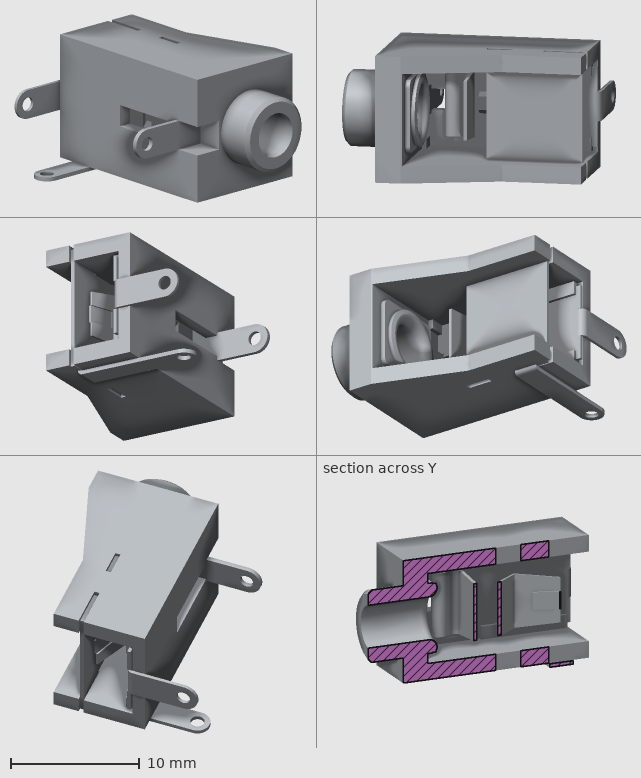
import cadquery as cq
import math


body_length = 15.8
body_height = 10.0
body_width = 10.0
rear_height = 7.58
slope_start_x = 6.26
slope_end_x = 13.77
cavity_length = 13.68
cavity_width = 7.3
floor_y = 1.03

axis_y = 5.5
nozzle_radius = 3.0
nozzle_length = 3.0
nozzle_chamfer = 0.3
bore_radius = 1.78
sleeve_base_radius = 2.86
sleeve_crest_radius = 2.5
sleeve_crest_x = 12.9
sleeve_chamfer = 0.11

terminal_end_y = -4.49
terminal_width = 2.33
terminal_hole_radius = 0.55
side_terminal_width = 2.0
side_terminal_x = 2.33

ground_thickness = 0.38
ground_x = cavity_length - ground_thickness
ground_bottom_y = 2.52
ground_top_y = 8.79
ground_width = 5.77
ground_corner_radius = 0.57
recess_x = 13.18
recess_depth = 2.3
corner_block_height = 2.31

spring_thickness = 0.27
spring_top_y = 1.43
spring_width = 6.35
spring_front_x = 11.92
spring_rear_x = -0.08
terminal_rear_x = -0.3
terminal_bend_radius = 0.52
fold_radius = 0.65
return_heading = math.radians(210)
arm_bend_radius = 0.61
arm_top_y = 5.15
arm_base_width = 5.46
arm_tip_width = 4.66
rail_inner_z = 2.45
rail_outer_z = 3.51
rail_rear_x = 0.38
rail_length = 7.25
rail_top_y = 1.7

slot_start_x = 6.91
slot_width = 1.72
bridge_start_x = 8.3
bridge_end_x = 9.28
bridge_top_y = 1.83
bridge_base_width = 2.14
bridge_top_width = 1.07

plate_thickness = 0.32
plate_rear_x = 0.3
plate_front_x = 3.3
plate_top_z = 4.74
plate_bend_radius = 0.38
side_terminal_bottom_z = -5.37
wall_slot_height = 0.42
rear_slot_length = 3.4
front_slot_start_x = 5.83
front_slot_end_x = 7.89
plate_tab_clearance = 0.08
leaf_thickness = 0.17
leaf_tip_x = 2.39
leaf_tip_y = 4.83
leaf_tip_width = 3.67
leaf_knee_x = 5.73
leaf_knee_y = 3.61
leaf_knee_width = 4.4
channel_width = 1.41
channel_length = 1.91
channel_depth = 0.13


def box(x0, x1, y0, y1, z0, z1):
    return cq.Workplane("XY").box(x1 - x0, y1 - y0, z1 - z0, centered=False).translate((x0, y0, z0))


def centred_box(x0, x1, y0, y1, width):
    return box(x0, x1, y0, y1, -width / 2, width / 2)


def extrude_across(outline, width):
    """Extrude an XY outline symmetrically about the plug axis plane."""
    return outline.extrude(width / 2, both=True)


def terminal_blade(width, thickness, top_y):
    """Round-ended blade with an eyelet, its flat faces normal to X, starting at X = 0."""
    centre_y = terminal_end_y + width / 2
    blade = centred_box(0, thickness, centre_y, top_y, width)
    eye = cq.Workplane("YZ").center(centre_y, 0)
    hole = eye.circle(terminal_hole_radius).extrude(thickness)
    return blade.union(eye.circle(width / 2).extrude(thickness)).cut(hole)


def trapezoid_mask(x0, y0, width0, x1, y1, width1, plane):
    """Prism whose Z width changes from width0 to width1 along X (plane "XZ") or Y (plane "YZ")."""
    if plane == "XZ":
        ends = (x0, x1)
        base = cq.Workplane("XZ", origin=(0, y1, 0))
        depth = y1 - y0
    else:
        ends = (y0, y1)
        base = cq.Workplane("YZ", origin=(x0, 0, 0))
        depth = x1 - x0
    outline = [
        (ends[0], -width0 / 2),
        (ends[1], -width1 / 2),
        (ends[1], width1 / 2),
        (ends[0], width0 / 2),
    ]
    return base.polyline(outline).close().extrude(depth)


def make_housing():
    outline = [
        (0, 0),
        (body_length, 0),
        (body_length, body_height),
        (slope_end_x, body_height),
        (slope_start_x, rear_height),
        (0, rear_height),
    ]
    housing = extrude_across(cq.Workplane("XY").polyline(outline).close(), body_width)
    housing = housing.cut(centred_box(0, cavity_length, floor_y, body_height, cavity_width))
    housing = housing.cut(centred_box(slot_start_x, recess_x, 0, floor_y, slot_width))
    housing = housing.cut(centred_box(recess_x, body_length, 0, recess_depth, terminal_width))
    for x0, x1 in ((0, rear_slot_length), (front_slot_start_x, front_slot_end_x)):
        housing = housing.cut(centred_box(x0, x1, axis_y - wall_slot_height, axis_y, body_width))
    for z0, z1 in ((-cavity_width, -ground_width), (ground_width, cavity_width)):
        block = box(ground_x, cavity_length, floor_y, corner_block_height, z0 / 2, z1 / 2)
        housing = housing.union(block)
    return housing


def make_bushing():
    """Nozzle and inner sleeve, without the bore, revolved about the plug axis."""
    end_x = body_length + nozzle_length
    outline = [
        (sleeve_crest_x, 0),
        (sleeve_crest_x, sleeve_crest_radius),
        (sleeve_crest_x + sleeve_chamfer, sleeve_base_radius),
        (body_length, sleeve_base_radius),
        (body_length, nozzle_radius),
        (end_x - nozzle_chamfer, nozzle_radius),
        (end_x, nozzle_radius - nozzle_chamfer),
        (end_x, 0),
    ]
    return (
        cq.Workplane("XY", origin=(0, axis_y, 0))
        .polyline(outline)
        .close()
        .revolve(360, (0, 0, 0), (1, 0, 0))
    )


def make_bore():
    """Through bore with a rounded mouth at the sleeve crest."""
    mouth_radius = sleeve_crest_radius - bore_radius
    diagonal = mouth_radius * math.sqrt(0.5)
    return (
        cq.Workplane("XY", origin=(0, axis_y, 0))
        .moveTo(sleeve_crest_x, 0)
        .lineTo(sleeve_crest_x, sleeve_crest_radius)
        .threePointArc(
            (sleeve_crest_x + mouth_radius - diagonal, sleeve_crest_radius - diagonal),
            (sleeve_crest_x + mouth_radius, bore_radius),
        )
        .lineTo(body_length + nozzle_length, bore_radius)
        .lineTo(body_length + nozzle_length, 0)
        .close()
        .revolve(360, (0, 0, 0), (1, 0, 0))
    )


def make_ground_terminal():
    plate = centred_box(ground_x, cavity_length, ground_bottom_y, ground_top_y, ground_width)
    plate = plate.edges("|X").fillet(ground_corner_radius)
    blade = terminal_blade(terminal_width, ground_thickness, axis_y)
    return plate.union(blade.translate((ground_x, 0, 0)))


def on_circle(centre, radius, angle):
    return (centre[0] + radius * math.cos(angle), centre[1] + radius * math.sin(angle))


def make_spring_arm(bottom_y):
    """Sheet folded up and back at the front, sloping down, then bent upright into the arm."""
    quarter = math.pi / 2
    fold_inner = fold_radius - spring_thickness
    bend_inner = arm_bend_radius - spring_thickness

    fold_centre = (spring_front_x - fold_radius, bottom_y + fold_radius)
    bend_centre_y = rail_top_y + arm_bend_radius
    centre_gap = fold_radius + bend_inner
    rise = bend_centre_y - fold_centre[1]
    run_length = (rise + centre_gap * math.cos(return_heading)) / math.sin(return_heading)
    run_x = run_length * math.cos(return_heading) + centre_gap * math.sin(return_heading)
    bend_centre = (fold_centre[0] + run_x, bend_centre_y)

    fold_end = return_heading - quarter
    bend_start = return_heading + quarter
    bend_middle = (bend_start + math.pi) / 2
    outline = (
        cq.Workplane("XY")
        .moveTo(*on_circle(fold_centre, fold_radius, -quarter))
        .threePointArc(
            on_circle(fold_centre, fold_radius, 0),
            on_circle(fold_centre, fold_radius, fold_end),
        )
        .lineTo(*on_circle(bend_centre, bend_inner, bend_start))
        .threePointArc(
            on_circle(bend_centre, bend_inner, bend_middle),
            on_circle(bend_centre, bend_inner, math.pi),
        )
        .lineTo(bend_centre[0] - bend_inner, arm_top_y)
        .lineTo(bend_centre[0] - arm_bend_radius, arm_top_y)
        .lineTo(*on_circle(bend_centre, arm_bend_radius, math.pi))
        .threePointArc(
            on_circle(bend_centre, arm_bend_radius, bend_middle),
            on_circle(bend_centre, arm_bend_radius, bend_start),
        )
        .lineTo(*on_circle(fold_centre, fold_inner, fold_end))
        .threePointArc(
            on_circle(fold_centre, fold_inner, 0),
            on_circle(fold_centre, fold_inner, -quarter),
        )
        .close()
    )
    taper_rear_x = bend_centre[0] - arm_bend_radius
    taper = trapezoid_mask(
        taper_rear_x, bottom_y, arm_base_width, spring_front_x, arm_top_y, arm_tip_width, "YZ"
    )
    return extrude_across(outline, arm_base_width).intersect(taper)


def make_tip_spring():
    bottom_y = spring_top_y - spring_thickness

    rear = terminal_blade(terminal_width, spring_thickness, spring_top_y)
    lead_length = terminal_bend_radius + spring_thickness
    rear = rear.union(centred_box(0, lead_length, bottom_y, spring_top_y, terminal_width))
    rear = rear.edges("|Z and >Y and <X").fillet(terminal_bend_radius)
    rear = rear.translate((terminal_rear_x, 0, 0))

    base_front_x = spring_front_x - fold_radius
    base = centred_box(spring_rear_x, base_front_x, bottom_y, spring_top_y, spring_width)
    corner = centred_box(spring_rear_x, rail_rear_x, bottom_y, spring_top_y, terminal_width)
    spring = base.cut(corner).union(rear).union(make_spring_arm(bottom_y))
    for z0, z1 in ((-rail_outer_z, -rail_inner_z), (rail_inner_z, rail_outer_z)):
        rail = box(rail_rear_x, rail_rear_x + rail_length, floor_y, rail_top_y, z0, z1)
        spring = spring.union(rail)

    spring = spring.cut(centred_box(bridge_start_x, bridge_end_x, bottom_y, spring_top_y, slot_width))
    return spring.union(make_bridge(bottom_y))


def make_bridge(bottom_y):
    def arch(top_y, base_width, top_width):
        outline = [
            (bottom_y, -base_width / 2),
            (top_y, -top_width / 2),
            (top_y, top_width / 2),
            (bottom_y, base_width / 2),
        ]
        base = cq.Workplane("YZ", origin=(bridge_start_x, 0, 0))
        return base.polyline(outline).close().extrude(bridge_end_x - bridge_start_x)

    outer = arch(bridge_top_y, bridge_base_width, bridge_top_width)
    inner_top_width = bridge_top_width - spring_thickness
    return outer.cut(arch(bridge_top_y - spring_thickness, slot_width, inner_top_width))


def make_switch_terminal():
    bottom_y = axis_y - plate_thickness

    blade = terminal_blade(side_terminal_width, plate_thickness, axis_y)
    blade = blade.rotate((0, 0, 0), (0, 1, 0), -90)
    blade = blade.translate((side_terminal_x, 0, side_terminal_bottom_z))
    riser = box(
        side_terminal_x - side_terminal_width / 2,
        plate_front_x,
        bottom_y,
        axis_y,
        side_terminal_bottom_z,
        0,
    )
    terminal = blade.union(riser).edges("|X and >Y and <Z").fillet(plate_bend_radius)

    rear_part = box(plate_rear_x, plate_front_x, bottom_y, axis_y, -body_width / 2, plate_top_z)
    tab_start_x = front_slot_start_x + plate_tab_clearance
    front_tab = centred_box(tab_start_x, front_slot_end_x, bottom_y, axis_y, 2 * plate_top_z)
    web = centred_box(plate_rear_x, front_slot_end_x, bottom_y, axis_y, cavity_width)
    return terminal.union(rear_part).union(front_tab).union(web).union(make_switch_leaf(bottom_y))


def make_switch_leaf(plate_bottom_y):
    """Leaf dropping from the plate's front end to a knee, then sloping back up to its tip."""
    outline = [
        (leaf_tip_x, leaf_tip_y),
        (leaf_knee_x, leaf_knee_y),
        (front_slot_end_x, plate_bottom_y),
        (front_slot_end_x - 2 * leaf_thickness, plate_bottom_y),
        (leaf_knee_x, leaf_knee_y + leaf_thickness),
        (leaf_tip_x, leaf_tip_y + leaf_thickness),
    ]
    leaf = extrude_across(cq.Workplane("XY").polyline(outline).close(), leaf_knee_width)
    taper = trapezoid_mask(
        leaf_tip_x, leaf_knee_y, leaf_tip_width, leaf_knee_x, axis_y, leaf_knee_width, "XZ"
    )
    drop = centred_box(leaf_knee_x, front_slot_end_x, leaf_knee_y, axis_y, leaf_knee_width)
    leaf = leaf.intersect(taper.union(drop))

    channel = sloped_strip(0, channel_depth, channel_length)
    tongue = sloped_strip(channel_depth, channel_depth + leaf_thickness, channel_length + leaf_thickness)
    return leaf.cut(channel).union(tongue)


def sloped_strip(low, high, length):
    """Strip along the leaf from its tip, between two heights above the leaf's lower face."""
    end_x = leaf_tip_x + length
    end_y = leaf_tip_y + length * (leaf_knee_y - leaf_tip_y) / (leaf_knee_x - leaf_tip_x)
    outline = [
        (leaf_tip_x, leaf_tip_y + low),
        (end_x, end_y + low),
        (end_x, end_y + high),
        (leaf_tip_x, leaf_tip_y + high),
    ]
    return extrude_across(cq.Workplane("XY").polyline(outline).close(), channel_width)


result = (
    make_housing()
    .union(make_bushing())
    .union(make_ground_terminal())
    .cut(make_bore())
    .union(make_tip_spring())
    .union(make_switch_terminal())
)